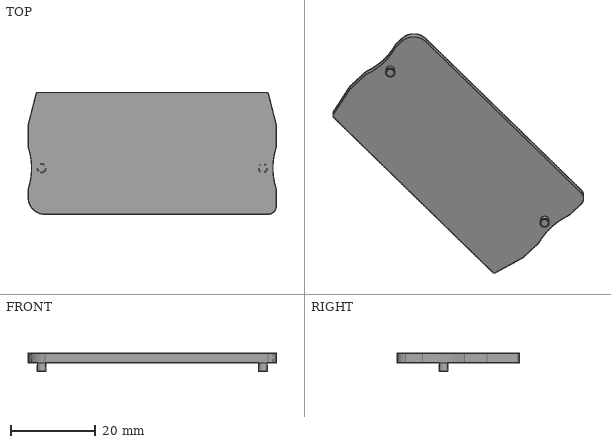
import cadquery as cq

LENGTH = 59.0
WIDTH = 29.0
TOTAL_HEIGHT = 4.4
PLATE_THICKNESS = 2.3

NOTCH_CENTER_Y = 11.0
NOTCH_CHORD = 10.0
NOTCH_DEPTH = 0.8
TAPER_START_Y = 21.3
TAPER_INSET = 1.95

FRONT_LEFT_RADIUS = 4.0
FRONT_RIGHT_RADIUS = 2.0
BACK_RADIUS = 0.5

PIN_ROOT_DIAMETER = 2.0
PIN_TIP_DIAMETER = 2.2
PIN_EDGE_DISTANCE = 3.2
PIN_LENGTH = TOTAL_HEIGHT - PLATE_THICKNESS
PIN_CHAMFER = 0.2

HALF_LENGTH = LENGTH / 2
NOTCH_FRONT_Y = NOTCH_CENTER_Y - NOTCH_CHORD / 2
NOTCH_BACK_Y = NOTCH_CENTER_Y + NOTCH_CHORD / 2


def make_plate():
    """Flat plate with shallow arc notches in its ends and a tapered back."""
    notch_x = HALF_LENGTH - NOTCH_DEPTH
    back_x = HALF_LENGTH - TAPER_INSET
    plate = (
        cq.Workplane("XY")
        .moveTo(-HALF_LENGTH, 0)
        .lineTo(HALF_LENGTH, 0)
        .lineTo(HALF_LENGTH, NOTCH_FRONT_Y)
        .threePointArc((notch_x, NOTCH_CENTER_Y), (HALF_LENGTH, NOTCH_BACK_Y))
        .lineTo(HALF_LENGTH, TAPER_START_Y)
        .lineTo(back_x, WIDTH)
        .lineTo(-back_x, WIDTH)
        .lineTo(-HALF_LENGTH, TAPER_START_Y)
        .lineTo(-HALF_LENGTH, NOTCH_BACK_Y)
        .threePointArc((-notch_x, NOTCH_CENTER_Y), (-HALF_LENGTH, NOTCH_FRONT_Y))
        .close()
        .extrude(PLATE_THICKNESS)
    )
    plate = plate.edges("|Z and <Y").edges("<X").fillet(FRONT_LEFT_RADIUS)
    plate = plate.edges("|Z").edges(">(1, -1, 0)").fillet(FRONT_RIGHT_RADIUS)
    return plate.edges("|Z and >Y").fillet(BACK_RADIUS)


def make_pin(x):
    """Round pin below the plate, flaring slightly toward its chamfered free end."""
    root_radius = PIN_ROOT_DIAMETER / 2
    tip_radius = PIN_TIP_DIAMETER / 2
    return (
        cq.Workplane("XZ", origin=(x, NOTCH_CENTER_Y, 0))
        .lineTo(-root_radius, 0)
        .lineTo(-tip_radius, PIN_CHAMFER - PIN_LENGTH)
        .lineTo(PIN_CHAMFER - tip_radius, -PIN_LENGTH)
        .lineTo(0, -PIN_LENGTH)
        .close()
        .revolve(360, (0, 0), (0, 1))
    )


result = make_plate()
for side in (-1, 1):
    result = result.union(make_pin(side * (HALF_LENGTH - PIN_EDGE_DISTANCE)))